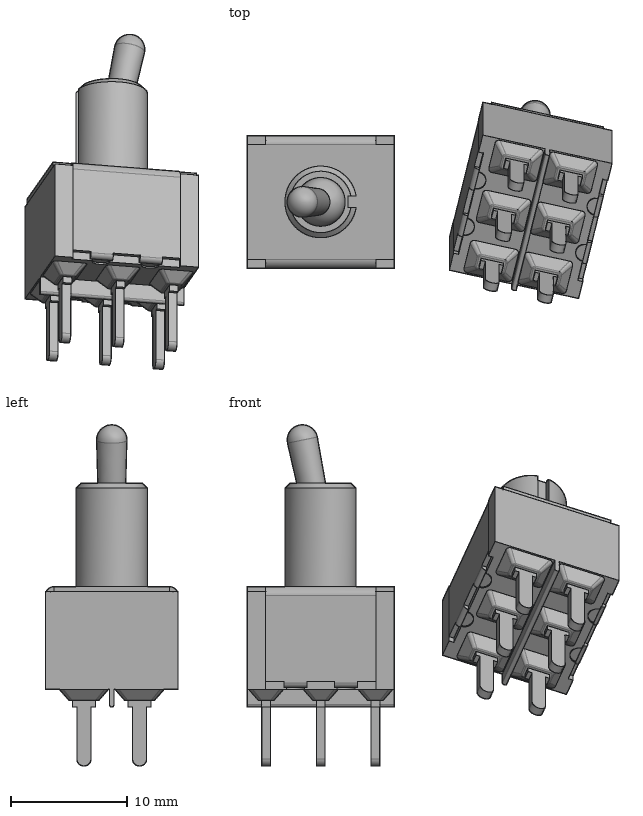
import cadquery as cq
import math

TOTAL_HEIGHT = 29.4
CASE_BOTTOM = 6.62
FRAME_TOP = 15.47
BUSHING_TOP = 24.38

CASE_X = 12.7
CASE_Y = 11.45

SHEET = 0.45
STRAP_X = 9.5
STRAP_GAP = 0.68
BEND_RADIUS = 0.75
TAB_X = 1.97
TAB_OFFSET = 2.18
TAB_GAP = 0.15
TAB_BEND_RADIUS = 0.4
TAB_POCKET_DIAMETER = 1.55

BUSHING_DIAMETER = 6.18
BUSHING_CHAMFER = 0.45
BORE_DIAMETER = 4.2
KEYWAY_WIDTH = 1.0
KEYWAY_FLOOR = 2.35

LEVER_TILT = 11.5
PIVOT_HEIGHT = 20.32
LEVER_TIP_RADIUS = 1.32
LEVER_ROOT_RADIUS = 1.12

PIN_COLUMNS = 3
PIN_PITCH_X = 4.7
PIN_PITCH_Y = 4.8
PIN_THICKNESS = 0.75
PIN_WIDTH = 1.24
COLLAR_WIDTH = 2.0
COLLAR_BOTTOM = 5.1
MOUND_X = 3.03
MOUND_Y = 4.25
MOUND_HEIGHT = 0.97
MOUND_INSET = 0.85
MOUND_TOP_CORNER = 0.35
MOUND_FOOT_CORNER = 0.25
MOUND_FOOT_FILLET = 0.18
BLADE_THICKNESS = 0.4
BLADE_BOTTOM = 5.1

CASE_TOP = FRAME_TOP - SHEET
RECESS_Y = CASE_Y / 2 - SHEET
STRAP_BOTTOM = CASE_BOTTOM + STRAP_GAP
TAB_BOTTOM = CASE_BOTTOM + TAB_GAP
MOUND_BOTTOM = CASE_BOTTOM - MOUND_HEIGHT
BORE_RADIUS = BORE_DIAMETER / 2
TIP_DISTANCE = (TOTAL_HEIGHT - LEVER_TIP_RADIUS - PIVOT_HEIGHT) / math.cos(math.radians(LEVER_TILT))


def box(x_size, y_size, z_low, z_high, x=0.0, y=0.0):
    """Upright block centred on (x, y) between two levels."""
    return (
        cq.Workplane("XY", origin=(x, y, z_low))
        .rect(x_size, y_size)
        .extrude(z_high - z_low)
    )


def make_tab(x, side):
    """Retaining tab below the strap, rounded on its outer lower edge."""
    tab = box(TAB_X, SHEET, TAB_BOTTOM, STRAP_BOTTOM, x, side * (CASE_Y - SHEET) / 2)
    outer_face = ">Y" if side > 0 else "<Y"
    return tab.faces(outer_face).edges("<Z").fillet(TAB_BEND_RADIUS)


def make_strap():
    """Sheet bent down over both Y sides of the case."""
    outside = box(STRAP_X, CASE_Y, STRAP_BOTTOM, FRAME_TOP)
    outside = outside.edges("|X and >Z").fillet(BEND_RADIUS)
    strap = outside.cut(box(STRAP_X, 2 * RECESS_Y, STRAP_BOTTOM, CASE_TOP))
    for side in (-1, 1):
        for x in (-TAB_OFFSET, TAB_OFFSET):
            strap = strap.union(make_tab(x, side))
    return strap


def make_bushing():
    """Chamfered bushing with a keyway along its +X side."""
    bushing = (
        cq.Workplane("XY", origin=(0, 0, CASE_TOP))
        .circle(BUSHING_DIAMETER / 2)
        .extrude(BUSHING_TOP - CASE_TOP)
        .faces(">Z")
        .chamfer(BUSHING_CHAMFER)
    )
    keyway_depth = BUSHING_DIAMETER / 2 - KEYWAY_FLOOR
    keyway = box(keyway_depth, KEYWAY_WIDTH, FRAME_TOP, BUSHING_TOP, KEYWAY_FLOOR + keyway_depth / 2)
    return bushing.cut(keyway)


def make_lever():
    """Tilted, tapered handle with a round tip, on a ball as wide as the bore."""
    tip_diagonal = LEVER_TIP_RADIUS * math.sqrt(0.5)
    handle = (
        cq.Workplane("XZ")
        .lineTo(LEVER_ROOT_RADIUS, 0)
        .lineTo(LEVER_TIP_RADIUS, TIP_DISTANCE)
        .threePointArc(
            (tip_diagonal, TIP_DISTANCE + tip_diagonal),
            (0, TIP_DISTANCE + LEVER_TIP_RADIUS),
        )
        .close()
        .revolve(360, (0, 0), (0, 1))
    )
    ball = cq.Workplane("XY").sphere(BORE_RADIUS)
    return handle.union(ball).rotate((0, 0, 0), (0, 1, 0), -LEVER_TILT).translate((0, 0, PIVOT_HEIGHT))


def make_frame():
    """Metal parts in one body: top plate, strap, bored bushing and the lever on the bore floor."""
    top_plate = box(CASE_X, CASE_Y - 2 * BEND_RADIUS, CASE_TOP, FRAME_TOP)
    bore = (
        cq.Workplane("XY", origin=(0, 0, PIVOT_HEIGHT))
        .circle(BORE_RADIUS)
        .extrude(BUSHING_TOP - PIVOT_HEIGHT)
    )
    housing = top_plate.union(make_strap()).union(make_bushing()).cut(bore)
    return housing.union(make_lever())


def make_shell():
    """Case block with a recess for the strap in each Y side."""
    shell = box(CASE_X, CASE_Y, CASE_BOTTOM, CASE_TOP)
    for side in (-1, 1):
        shell = shell.cut(box(STRAP_X, SHEET, CASE_BOTTOM, CASE_TOP, 0, side * (CASE_Y - SHEET) / 2))
        for x in (-TAB_OFFSET, TAB_OFFSET):
            pocket = (
                cq.Workplane("XY", origin=(x, side * RECESS_Y, CASE_BOTTOM))
                .circle(TAB_POCKET_DIAMETER / 2)
                .extrude(TAB_GAP)
            )
            shell = shell.cut(pocket)
    return shell


def make_blade():
    """Insulating blade between the pin rows, with a rounded lower edge."""
    blade = box(CASE_X, BLADE_THICKNESS, BLADE_BOTTOM + BLADE_THICKNESS / 2, CASE_BOTTOM)
    rim = (
        cq.Workplane("YZ", origin=(-CASE_X / 2, 0, BLADE_BOTTOM + BLADE_THICKNESS / 2))
        .circle(BLADE_THICKNESS / 2)
        .extrude(CASE_X)
    )
    return blade.union(rim)


def make_mound():
    """Sealing mound with rounded corners, drawn in by the same amount on all sides."""
    top = cq.Sketch().rect(MOUND_X, MOUND_Y).vertices().fillet(MOUND_TOP_CORNER)
    foot_x = MOUND_X - 2 * MOUND_INSET
    foot_y = MOUND_Y - 2 * MOUND_INSET
    foot = cq.Sketch().rect(foot_x, foot_y).vertices().fillet(MOUND_FOOT_CORNER)
    mound = (
        cq.Workplane("XY", origin=(0, 0, MOUND_BOTTOM))
        .placeSketch(foot, top.moved(cq.Location(cq.Vector(0, 0, MOUND_HEIGHT))))
        .loft()
    )
    return mound.faces("<Z").edges().fillet(MOUND_FOOT_FILLET)


def make_pin(x, y):
    """Flat pin with a wider collar and a round tip, under a tapered sealing mound."""
    mound = make_mound().translate((x, y, 0))
    collar = box(PIN_THICKNESS, COLLAR_WIDTH, COLLAR_BOTTOM, MOUND_BOTTOM, x, y)
    tip_radius = PIN_WIDTH / 2
    shank = box(PIN_THICKNESS, PIN_WIDTH, tip_radius, COLLAR_BOTTOM, x, y)
    tip = (
        cq.Workplane("YZ", origin=(x - PIN_THICKNESS / 2, y, tip_radius))
        .circle(tip_radius)
        .extrude(PIN_THICKNESS)
    )
    return mound.union(collar).union(shank).union(tip)


def make_case():
    """Insulating case carrying the blade and two rows of pins."""
    case = make_shell().union(make_blade())
    for column in range(PIN_COLUMNS):
        x = (column - (PIN_COLUMNS - 1) / 2) * PIN_PITCH_X
        for y in (-PIN_PITCH_Y / 2, PIN_PITCH_Y / 2):
            case = case.union(make_pin(x, y))
    return case


frame = make_frame()
case = make_case()
result = cq.Compound.makeCompound([frame.solids().val(), case.solids().val()])